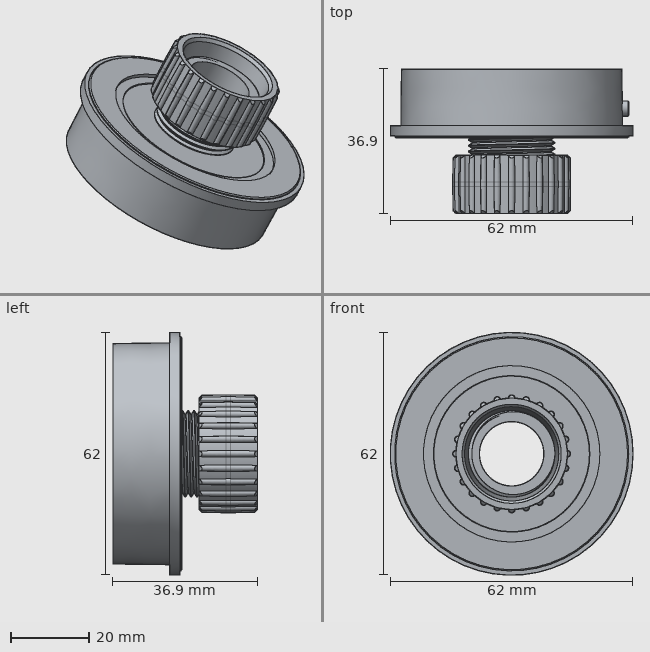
import cadquery as cq
import math


DRUM_BACK_RADIUS = 28.15
DRUM_FRONT_RADIUS = 28.35
FLANGE_RADIUS = 31.0
FLANGE_BACK = 14.45
FLANGE_FRONT = 17.05
FACE_RADIUS = 29.9
FACE_FRONT = 17.6
FACE_CHAMFER = 0.3
RECESS_RADIUS = 22.5
RECESS_DEPTH = 0.9
RECESS_FLOOR = FACE_FRONT - RECESS_DEPTH
DISH_RADIUS = 19.95
DISH_FLOOR_RADIUS = 19.85
DISH_DEPTH = 0.25
DISH_FLOOR = RECESS_FLOOR - DISH_DEPTH

STUB_EMBEDDED_LENGTH = 1.85
STUB_BACK = RECESS_FLOOR - STUB_EMBEDDED_LENGTH
STUB_FRONT = 32.4
BORE_FRONT_RADIUS = 8.2
BORE_BACK_RADIUS = 9.1
THREAD_ROOT_RADIUS = 10.15
THREAD_CREST_RADIUS = 11.05
THREAD_PITCH = 1.5
THREAD_TURNS = 13
THREAD_START = 14.3
THREAD_END = THREAD_START + THREAD_PITCH * THREAD_TURNS
THREAD_CREST_WIDTH = 0.2
THREAD_BASE_WIDTH = 1.35
THREAD_SINK = 0.1

PIN_RADIUS = 2.0
PIN_END = 29.95
PIN_DEPTH = 10.1
PIN_CHAMFER = 0.3
PIN_ROOT = 24.8

KNOB_BACK = 21.95
KNOB_FRONT = 36.9
KNOB_MIDDLE = (KNOB_BACK + KNOB_FRONT) / 2
KNOB_BAND_WIDTH = 1.1
KNOB_END_RADIUS = 14.15
KNOB_BAND_RADIUS = 14.25
KNOB_BORE_BACK_RADIUS = THREAD_CREST_RADIUS
KNOB_BORE_FRONT_RADIUS = 12.0
KNOB_LIP_RADIUS = 12.65
KNOB_LIP_DEPTH = 0.9
RIB_COUNT = 24
RIB_CENTRE_RADIUS = 14.2
RIB_BAND_RADIUS = 0.85
RIB_END_RADIUS = 0.75
RIB_CHAMFER = 0.75


def revolve_about_y(profile):
    """Revolve a closed outline of (radius, depth) points about the Y axis."""
    points = [(radius, -depth) for radius, depth in profile]
    return cq.Workplane("XY").polyline(points).close().revolve(360, (0, 0, 0), (0, 1, 0))


def make_cylinder(radius, back, front):
    return revolve_about_y([(0, back), (radius, back), (radius, front), (0, front)])


def make_housing_blank():
    return revolve_about_y([
        (0, 0),
        (DRUM_BACK_RADIUS, 0),
        (DRUM_FRONT_RADIUS, FLANGE_BACK),
        (FLANGE_RADIUS, FLANGE_BACK),
        (FLANGE_RADIUS, FLANGE_FRONT),
        (FACE_RADIUS, FLANGE_FRONT),
        (FACE_RADIUS, FACE_FRONT - FACE_CHAMFER),
        (FACE_RADIUS - FACE_CHAMFER, FACE_FRONT),
        (RECESS_RADIUS, FACE_FRONT),
        (RECESS_RADIUS, RECESS_FLOOR),
        (DISH_RADIUS, RECESS_FLOOR),
        (DISH_FLOOR_RADIUS, DISH_FLOOR),
        (THREAD_ROOT_RADIUS, DISH_FLOOR),
        (THREAD_ROOT_RADIUS, STUB_FRONT),
        (0, STUB_FRONT),
    ])


def make_thread():
    """Right-handed V ridge, from inside the housing to beyond the end of the stub."""
    helix = cq.Wire.makeHelix(
        THREAD_PITCH, THREAD_END - THREAD_START, THREAD_ROOT_RADIUS, cq.Vector(0, 0, THREAD_START)
    )
    base = THREAD_ROOT_RADIUS - THREAD_SINK
    ridge = (
        cq.Workplane("XZ")
        .polyline([
            (base, THREAD_START - THREAD_BASE_WIDTH / 2),
            (THREAD_CREST_RADIUS, THREAD_START - THREAD_CREST_WIDTH / 2),
            (THREAD_CREST_RADIUS, THREAD_START + THREAD_CREST_WIDTH / 2),
            (base, THREAD_START + THREAD_BASE_WIDTH / 2),
        ])
        .close()
        .sweep(cq.Workplane(helix), isFrenet=True)
    )
    return ridge.rotate((0, 0, 0), (1, 0, 0), 90)


def make_stub():
    """Threaded stub, its back end buried in the housing and its front end cut off square."""
    core = make_cylinder(THREAD_ROOT_RADIUS, THREAD_START - THREAD_PITCH, THREAD_END + THREAD_PITCH)
    kept_length = make_cylinder(FLANGE_RADIUS, STUB_BACK, STUB_FRONT)
    return core.union(make_thread(), clean=False).intersect(kept_length, clean=False)


def make_pin():
    return (
        cq.Workplane("YZ", origin=(PIN_ROOT, -PIN_DEPTH, 0))
        .circle(PIN_RADIUS)
        .extrude(PIN_END - PIN_ROOT)
        .faces(">X")
        .chamfer(PIN_CHAMFER)
    )


def make_bore():
    return revolve_about_y([
        (0, 0),
        (BORE_BACK_RADIUS, 0),
        (BORE_FRONT_RADIUS, STUB_FRONT),
        (0, STUB_FRONT),
    ])


def make_housing():
    housing = make_housing_blank().union(make_pin()).union(make_stub(), clean=False)
    return housing.cut(make_bore())


def make_knob_blank():
    band_back = KNOB_MIDDLE - KNOB_BAND_WIDTH / 2
    band_front = KNOB_MIDDLE + KNOB_BAND_WIDTH / 2
    return revolve_about_y([
        (0, KNOB_BACK),
        (KNOB_END_RADIUS, KNOB_BACK),
        (KNOB_BAND_RADIUS, band_back),
        (KNOB_BAND_RADIUS, band_front),
        (KNOB_END_RADIUS, KNOB_FRONT),
        (0, KNOB_FRONT),
    ])


def make_rib():
    """Round rib on the +X side, thinning from the band to both ends."""
    half_length = (KNOB_FRONT - KNOB_BACK) / 2
    taper_length = half_length - KNOB_BAND_WIDTH / 2
    taper = math.degrees(math.atan2(RIB_BAND_RADIUS - RIB_END_RADIUS, taper_length))
    middle = cq.Workplane("XZ", origin=(RIB_CENTRE_RADIUS, -KNOB_MIDDLE, 0))
    rib = middle.circle(RIB_BAND_RADIUS).extrude(KNOB_BAND_WIDTH / 2, both=True)
    for side in (1, -1):
        end = middle.workplane(offset=side * KNOB_BAND_WIDTH / 2)
        rib = rib.union(end.circle(RIB_BAND_RADIUS).extrude(side * taper_length, taper=taper))
    return rib


def make_rib_envelope():
    """Solid of revolution that slopes the ends of the ribs down to the knob's end faces."""
    tip = RIB_CENTRE_RADIUS + RIB_BAND_RADIUS
    end = RIB_CENTRE_RADIUS + RIB_END_RADIUS - RIB_CHAMFER
    return revolve_about_y([
        (0, KNOB_BACK),
        (end, KNOB_BACK),
        (tip, KNOB_BACK + tip - end),
        (tip, KNOB_FRONT - tip + end),
        (end, KNOB_FRONT),
        (0, KNOB_FRONT),
    ])


def make_knob_bore():
    return revolve_about_y([
        (0, KNOB_BACK),
        (KNOB_BORE_BACK_RADIUS, KNOB_BACK),
        (KNOB_BORE_FRONT_RADIUS, KNOB_FRONT - KNOB_LIP_DEPTH),
        (KNOB_LIP_RADIUS, KNOB_FRONT),
        (0, KNOB_FRONT),
    ])


def make_knob():
    rib = make_rib().intersect(make_rib_envelope())
    ribs = cq.Workplane()
    for index in range(RIB_COUNT):
        ribs = ribs.add(rib.rotate((0, 0, 0), (0, 1, 0), index * 360 / RIB_COUNT))
    return make_knob_blank().union(ribs).cut(make_knob_bore())


housing = make_housing()
knob = make_knob()
result = cq.Compound.makeCompound([housing.val(), knob.val()])